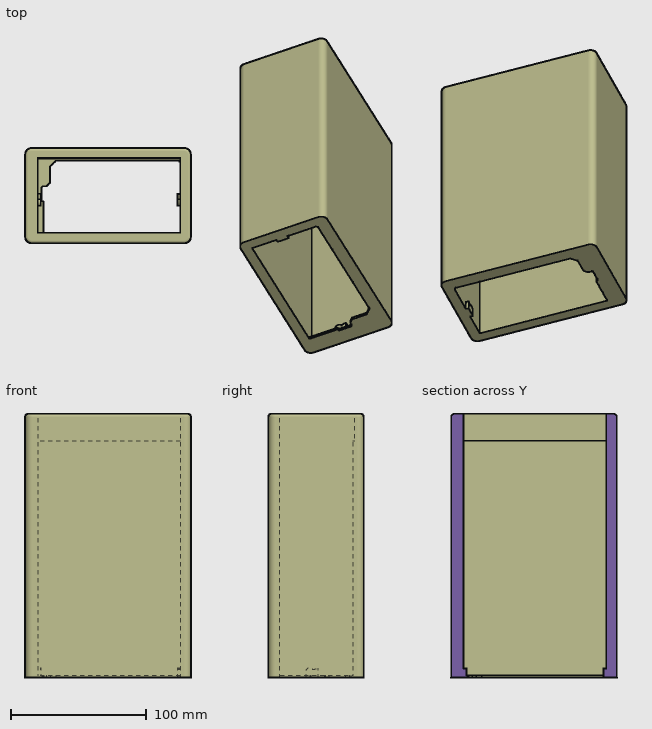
import cadquery as cq
import math

LENGTH = 122.5
WIDTH = 70.5
HEIGHT = 194.7
CORNER_RADIUS = 5.0
RIM_RADIUS = 2.3

LEFT_WALL = 9.3
RIGHT_WALL = 8.0
SIDE_WALL = 8.0
MOUTH_DEPTH = 20.0
MOUTH_STEP = 0.8

CAVITY_LEFT = -LENGTH / 2 + LEFT_WALL
CAVITY_RIGHT = LENGTH / 2 - RIGHT_WALL
CAVITY_FRONT = -WIDTH / 2 + SIDE_WALL
CAVITY_BACK = WIDTH / 2 - SIDE_WALL

LIP_THICKNESS = 2.0
LIP_BACK = 1.5
LIP_LEFT_FRONT = 4.5
LIP_LEFT_NECK = 3.0
LIP_LEFT_PAD = 9.2
LIP_CORNER = 1.2
NECK_CHAMFER = 0.8
NECK_FRONT_Y = -4.5
NECK_BACK_Y = 6.8
PAD_FRONT_CHAMFER = 2.7
PAD_BACK_CHAMFER = 4.3

LATCH_REACH = 2.1
LATCH_NOSE_Y = -4.9
LATCH_NOSE_RADIUS = 2.7
LATCH_NOSE_Z = LIP_THICKNESS + LATCH_NOSE_RADIUS
LATCH_TAIL_Y = 1.4
LATCH_TAIL_LOW = 1.4
LATCH_TAIL_HIGH = 2.3


def box_between(x_min, x_max, y_min, y_max, z_min, z_max):
    size = (x_max - x_min, y_max - y_min, z_max - z_min)
    return cq.Workplane("XY").box(*size, centered=False).translate((x_min, y_min, z_min))


def make_sleeve():
    sleeve = cq.Workplane("XY").box(LENGTH, WIDTH, HEIGHT, centered=(True, True, False))
    sleeve = sleeve.edges("|Z").fillet(CORNER_RADIUS)
    sleeve = sleeve.faces(">Z").edges().fillet(RIM_RADIUS)
    cavity = box_between(CAVITY_LEFT, CAVITY_RIGHT, CAVITY_FRONT, CAVITY_BACK, 0, HEIGHT)
    mouth = box_between(
        CAVITY_LEFT, CAVITY_RIGHT,
        CAVITY_FRONT, CAVITY_BACK + MOUTH_STEP,
        HEIGHT - MOUTH_DEPTH, HEIGHT,
    )
    return sleeve.cut(cavity).cut(mouth)


def make_lip():
    front_x = CAVITY_LEFT + LIP_LEFT_FRONT
    neck_x = CAVITY_LEFT + LIP_LEFT_NECK
    pad_x = CAVITY_LEFT + LIP_LEFT_PAD
    back_y = CAVITY_BACK - LIP_BACK
    outline = [
        (CAVITY_LEFT, CAVITY_FRONT),
        (front_x, CAVITY_FRONT),
        (front_x, NECK_FRONT_Y),
        (neck_x, NECK_FRONT_Y + NECK_CHAMFER),
        (neck_x, NECK_BACK_Y - NECK_CHAMFER),
        (neck_x + NECK_CHAMFER, NECK_BACK_Y),
        (pad_x - PAD_FRONT_CHAMFER, NECK_BACK_Y),
        (pad_x, NECK_BACK_Y + PAD_FRONT_CHAMFER),
        (pad_x, back_y - PAD_BACK_CHAMFER),
        (pad_x + PAD_BACK_CHAMFER, back_y),
        (CAVITY_RIGHT - LIP_CORNER, back_y),
        (CAVITY_RIGHT, back_y - LIP_CORNER),
        (CAVITY_RIGHT, CAVITY_BACK),
        (CAVITY_LEFT, CAVITY_BACK),
    ]
    return cq.Workplane("XY").polyline(outline).close().extrude(LIP_THICKNESS)


def make_latch(x_min):
    radius = LATCH_NOSE_RADIUS
    tail_start = math.sqrt(radius**2 - LATCH_TAIL_LOW**2)
    tail_end = LATCH_TAIL_Y - LATCH_NOSE_Y
    profile = (
        cq.Workplane("YZ", origin=(x_min, LATCH_NOSE_Y, LATCH_NOSE_Z))
        .moveTo(-radius, -LATCH_NOSE_Z)
        .lineTo(-radius, 0)
        .threePointArc((0, radius), (tail_start, LATCH_TAIL_LOW))
        .lineTo(tail_end, LATCH_TAIL_HIGH)
        .lineTo(tail_end, -LATCH_NOSE_Z)
        .close()
    )
    return profile.extrude(LATCH_REACH)


result = make_sleeve().union(make_lip())
for latch_x in (CAVITY_LEFT, CAVITY_RIGHT - LATCH_REACH):
    result = result.union(make_latch(latch_x))